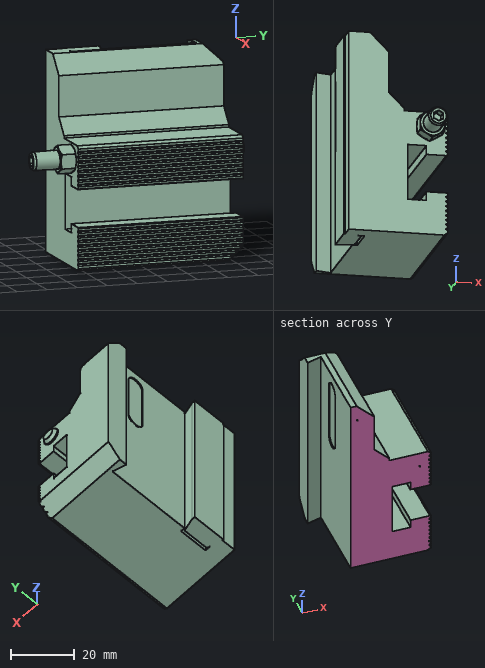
import cadquery as cq
import math

BODY_WIDTH = 31.9
BODY_LENGTH = 54.8
BODY_HEIGHT = 65.0
DOVETAIL_ANGLE = 15.0

TOP_WIDTH = 6.9
TOP_BEVEL = 5.95
WEB_WIDTH = TOP_WIDTH + TOP_BEVEL
SHOULDER_WIDTH = 17.9
WEB_BOTTOM = 45.85
SHOULDER_BEVEL = SHOULDER_WIDTH - WEB_WIDTH
LEDGE_HEIGHT = 40.05
LEDGE_MIDDLE = LEDGE_HEIGHT / 2
BACK_CORNER_CHAMFER = 5.0

SLOT_DEPTH = 12.9
SLOT_INNER_HEIGHT = 17.9
SLOT_LIP_DEPTH = 6.9
SLOT_OPENING = 12.2

GROOVE_DEPTH = 0.7
GROOVE_ANGLE = 60.0
GROOVE_COUNT = 9
FIRST_GROOVE_OFFSET = 18.0
LAST_GROOVE_OFFSET = 5.95
EDGE_CHAMFER_X = 1.1
EDGE_CHAMFER_Z = 0.85

RECESS_DEPTH = 4.9
HOOK_TIP_Y = 47.05
JAW_POCKET_DEPTH = 6.45
JAW_POCKET_FRONT = 6.5
JAW_POCKET_BACK = 17.1
SEAT_EDGE_Y = 5.3

JAW_PROTRUSION = 0.4
JAW_INNER_X = 5.5
JAW_TIP_Y = 17.7
JAW_TIP_FLAT = 1.4

OBLONG_WIDTH = 6.0
OBLONG_BOTTOM = 36.3
OBLONG_TOP = 61.45
OBLONG_CENTER_Y = 38.3
OBLONG_DEPTH = 0.35

SCREW_X = 25.9
SCREW_Z = 35.0
SCREW_DIAMETER = 6.0
SCREW_LENGTH = 70.0
SCREW_FRONT_LENGTH = 13.6
SCREW_BACK_LENGTH = SCREW_LENGTH - SCREW_FRONT_LENGTH - BODY_LENGTH
FRONT_CHAMFER_LENGTH = 0.8
FRONT_CHAMFER_RADIAL = 0.5
POINT_LENGTH = 1.2
POINT_RADIAL = 1.0
SOCKET_FLATS = 3.0
SOCKET_DEPTH = 3.5
NUT_FLATS = 8.0
NUT_LENGTH = 5.05
NUT_CHAMFER_LENGTH = 0.35


def dovetail_rise(run):
    """Distance along Y covered by a dovetail flank over a run along X."""
    return run * math.tan(math.radians(DOVETAIL_ANGLE))


def extrude_along_y(points, length):
    """Prism from an XZ outline, running from Y = 0 to Y = length."""
    return cq.Workplane("XZ").polyline(points).close().extrude(-length)


def extrude_along_z(points):
    """Prism from an XY outline over the full body height."""
    return cq.Workplane("XY").polyline(points).close().extrude(BODY_HEIGHT)


def hexagonal_bar(across_flats, y_start, length):
    """Hexagonal bar on the screw axis, with two flats facing +X and -X."""
    corner_radius = across_flats / math.sqrt(3)
    corners = []
    for index in range(6):
        angle = math.radians(30 + 60 * index)
        x = SCREW_X + corner_radius * math.cos(angle)
        z = SCREW_Z + corner_radius * math.sin(angle)
        corners.append((x, z))
    return extrude_along_y(corners, length).translate((0, y_start, 0))


def turned_about_screw_axis(points):
    """Solid of revolution from (radius, Y) points about the screw axis."""
    profile = cq.Workplane("XY").polyline(points).close()
    return profile.revolve(360, (0, 0, 0), (0, 1, 0)).translate((SCREW_X, 0, SCREW_Z))


def make_block():
    outline = [
        (0, 0),
        (BODY_WIDTH - EDGE_CHAMFER_X, 0),
        (BODY_WIDTH, EDGE_CHAMFER_Z),
        (BODY_WIDTH, LEDGE_HEIGHT - EDGE_CHAMFER_Z),
        (BODY_WIDTH - EDGE_CHAMFER_X, LEDGE_HEIGHT),
        (SHOULDER_WIDTH, LEDGE_HEIGHT),
        (SHOULDER_WIDTH, WEB_BOTTOM - SHOULDER_BEVEL),
        (WEB_WIDTH, WEB_BOTTOM),
        (WEB_WIDTH, BODY_HEIGHT - TOP_BEVEL),
        (TOP_WIDTH, BODY_HEIGHT),
        (0, BODY_HEIGHT),
    ]
    return extrude_along_y(outline, BODY_LENGTH)


def make_back_corner_cuts():
    """Wedges that bevel the top and bottom back edges across the full width."""
    cuts = cq.Workplane("YZ")
    for edge_z, direction in ((0, 1), (BODY_HEIGHT, -1)):
        wedge = [
            (BODY_LENGTH, edge_z),
            (BODY_LENGTH - BACK_CORNER_CHAMFER, edge_z),
            (BODY_LENGTH, edge_z + direction * BACK_CORNER_CHAMFER),
        ]
        cuts = cuts.polyline(wedge).close()
    return cuts.extrude(BODY_WIDTH)


def make_t_slot():
    def slot_step(depth, height):
        step = cq.Workplane("XY").box(depth, BODY_LENGTH, height)
        return step.translate((BODY_WIDTH - depth / 2, BODY_LENGTH / 2, LEDGE_MIDDLE))

    inner_depth = SLOT_DEPTH - SLOT_LIP_DEPTH
    inner = slot_step(inner_depth, SLOT_INNER_HEIGHT).translate((-SLOT_LIP_DEPTH, 0, 0))
    return inner.union(slot_step(SLOT_DEPTH, SLOT_OPENING))


def make_serrations():
    half_width = GROOVE_DEPTH * math.tan(math.radians(GROOVE_ANGLE / 2))
    pitch = (FIRST_GROOVE_OFFSET - LAST_GROOVE_OFFSET) / (GROOVE_COUNT - 1)
    grooves = cq.Workplane("XZ")
    for side in (-1, 1):
        for index in range(GROOVE_COUNT):
            z = LEDGE_MIDDLE + side * (LAST_GROOVE_OFFSET + index * pitch)
            groove = [
                (BODY_WIDTH - GROOVE_DEPTH, z),
                (BODY_WIDTH, z - half_width),
                (BODY_WIDTH, z + half_width),
            ]
            grooves = grooves.polyline(groove).close()
    return grooves.extrude(-BODY_LENGTH)


def make_clamping_recess():
    """Undercut recess with the deeper jaw pocket and sloping seat at its front."""
    seat_run = (JAW_POCKET_FRONT - SEAT_EDGE_Y) / math.tan(math.radians(DOVETAIL_ANGLE))
    outline = [
        (0, SEAT_EDGE_Y),
        (seat_run, JAW_POCKET_FRONT),
        (JAW_POCKET_DEPTH, JAW_POCKET_FRONT),
        (JAW_POCKET_DEPTH, JAW_POCKET_BACK),
        (RECESS_DEPTH, JAW_POCKET_BACK),
        (RECESS_DEPTH, HOOK_TIP_Y + dovetail_rise(RECESS_DEPTH)),
        (0, HOOK_TIP_Y),
    ]
    return extrude_along_z(outline)


def make_oblong_pocket():
    length = OBLONG_TOP - OBLONG_BOTTOM
    center_z = (OBLONG_TOP + OBLONG_BOTTOM) / 2
    floor = cq.Workplane("YZ", origin=(RECESS_DEPTH, OBLONG_CENTER_Y, center_z))
    return floor.slot2D(length, OBLONG_WIDTH, 90).extrude(OBLONG_DEPTH)


def make_jaw():
    tip_end_x = JAW_TIP_FLAT - JAW_PROTRUSION
    outline = [
        (-JAW_PROTRUSION, SEAT_EDGE_Y - dovetail_rise(JAW_PROTRUSION)),
        (JAW_INNER_X, SEAT_EDGE_Y + dovetail_rise(JAW_INNER_X)),
        (JAW_INNER_X, JAW_TIP_Y - dovetail_rise(JAW_INNER_X - tip_end_x)),
        (tip_end_x, JAW_TIP_Y),
        (-JAW_PROTRUSION, JAW_TIP_Y),
    ]
    return extrude_along_z(outline)


def make_screw():
    radius = SCREW_DIAMETER / 2
    back_end = BODY_LENGTH + SCREW_BACK_LENGTH
    shank = turned_about_screw_axis([
        (0, -SCREW_FRONT_LENGTH),
        (radius - FRONT_CHAMFER_RADIAL, -SCREW_FRONT_LENGTH),
        (radius, -SCREW_FRONT_LENGTH + FRONT_CHAMFER_LENGTH),
        (radius, back_end - POINT_LENGTH),
        (radius - POINT_RADIAL, back_end),
        (0, back_end),
    ])
    return shank.cut(hexagonal_bar(SOCKET_FLATS, -SCREW_FRONT_LENGTH, SOCKET_DEPTH))


def make_nut():
    """Hexagonal nut with its corners turned down conically at both ends."""
    corner_radius = NUT_FLATS / math.sqrt(3)
    face_radius = NUT_FLATS / 2
    envelope = turned_about_screw_axis([
        (0, -NUT_LENGTH),
        (face_radius, -NUT_LENGTH),
        (corner_radius, -NUT_LENGTH + NUT_CHAMFER_LENGTH),
        (corner_radius, -NUT_CHAMFER_LENGTH),
        (face_radius, 0),
        (0, 0),
    ])
    return hexagonal_bar(NUT_FLATS, -NUT_LENGTH, NUT_LENGTH).intersect(envelope)


body = make_block()
body = body.cut(make_back_corner_cuts())
body = body.cut(make_t_slot())
body = body.cut(make_serrations())
body = body.cut(make_clamping_recess())
body = body.cut(make_oblong_pocket())

result = body.union(make_jaw()).union(make_nut()).union(make_screw())